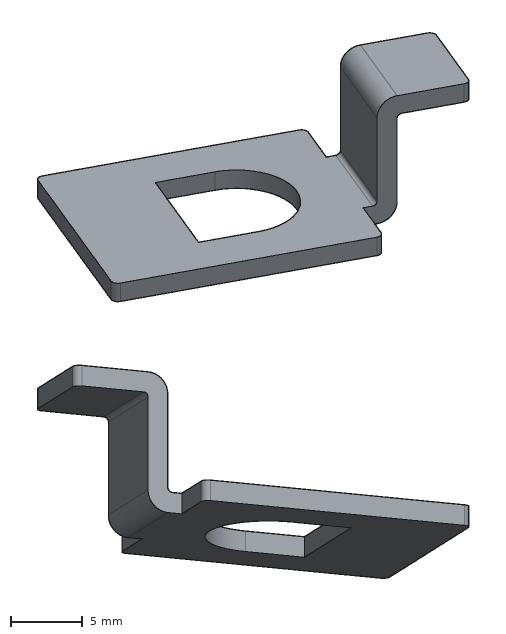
import cadquery as cq

plate_width = 16.05
total_length = 28.05
total_height = 10.0
thickness = 1.5

plate_length = 20.05
corner_radius = 0.5

tab_width = 7.6
riser_front = 21.1
riser_back = riser_front + thickness
flange_bottom = total_height - thickness
inner_bend_radius = 0.35
outer_bend_radius = 1.5

opening_width = 8.92
opening_front = 7.6
opening_back = 16.5
opening_radius = opening_width / 2
arc_center = opening_back - opening_radius


def make_plate():
    """Flat plate with its front edge on Y = 0 and rounded upright corners."""
    plate = cq.Workplane("XY").box(
        plate_width, plate_length, thickness, centered=(True, False, False)
    )
    return plate.edges("|Z").fillet(corner_radius)


def make_tab():
    """Z-shaped strip, starting inside the plate and ending at the back."""
    start = plate_length - thickness
    profile = [
        (start, 0),
        (riser_back, 0),
        (riser_back, flange_bottom),
        (total_length, flange_bottom),
        (total_length, total_height),
        (riser_front, total_height),
        (riser_front, thickness),
        (start, thickness),
    ]
    tab = cq.Workplane("YZ").polyline(profile).close().extrude(tab_width / 2, both=True)

    inner_bends = [(riser_back, flange_bottom), (riser_front, thickness)]
    outer_bends = [(riser_back, 0), (riser_front, total_height)]
    for bends, radius in ((inner_bends, inner_bend_radius), (outer_bends, outer_bend_radius)):
        for y, z in bends:
            tab = tab.edges(cq.selectors.NearestToPointSelector((0, y, z))).fillet(radius)

    return tab.faces(">Y").edges("|Z").fillet(corner_radius)


def make_opening():
    """Cutter with a straight front edge and a semicircular back."""
    return (
        cq.Workplane("XY")
        .moveTo(-opening_radius, opening_front)
        .lineTo(opening_radius, opening_front)
        .lineTo(opening_radius, arc_center)
        .threePointArc((0, opening_back), (-opening_radius, arc_center))
        .close()
        .extrude(thickness)
    )


result = make_plate().union(make_tab()).cut(make_opening())